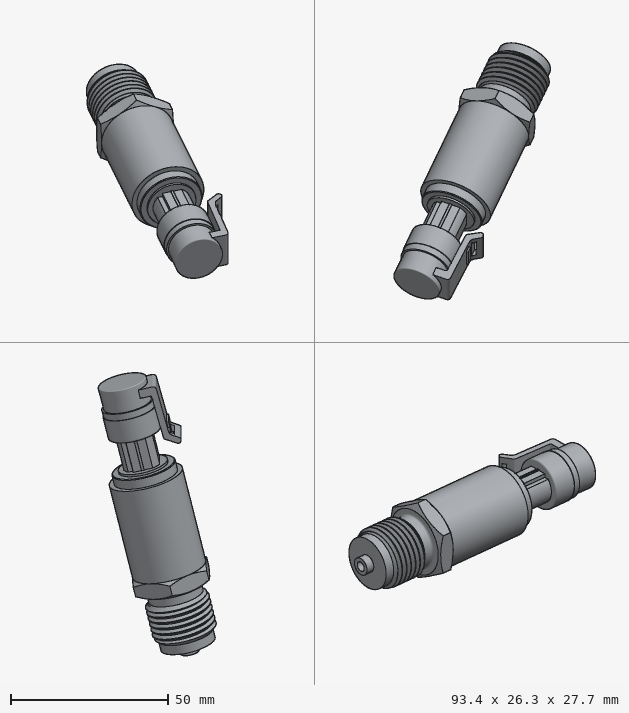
import cadquery as cq
import math

nipple_end = 2.9
spigot_end = 6.1
thread_end = 19.4
hex_start = 23.0
hex_end = 28.8
sleeve_end = 60.7
ring_end = 64.1
flange_end = 64.8
stem_end = 75.8
collar_step = 83.6
collar_end = 85.8
plug_end = 93.4

nipple_diameter = 6.0
bore_diameter = 3.3
spigot_diameter = 17.8
neck_fillet = 0.8
thread_diameter = 20.7
thread_root_diameter = 18.6
thread_chamfer_length = 1.4
thread_turns = 7
thread_crest_width = 0.3
thread_cutter_overreach = 0.1
hex_across_flats = 24.0
hex_face_diameter = 22.6
hex_chamfer_angle = 30

sleeve_diameter = hex_across_flats
ring_diameter = 20.7
ring_chamfer = 0.3
flange_diameter = 16.2
stem_diameter = 12.6
stem_top = 5.4
stem_back = 5.5
stem_step_height = 4.1
stem_step_y = -3.2
stem_rib_width = 0.8
stem_rib_height = 0.3

collar_diameter = 17.3
collar_rear_diameter = 16.9
collar_fillet = 0.6
plug_front_diameter = 15.6
plug_end_diameter = 15.8
plug_fillet = 0.3
latch_width = 12.3
latch_leg_start = 88.7
latch_leg_end = 91.6
latch_leg_bottom = 4.6
latch_bottom = 9.0
latch_top = 11.0
latch_tilt_drop = 0.5
latch_inner_radius = 0.5
latch_outer_radius = 1.1
latch_bend_under = (73.8, latch_bottom)
latch_bend_under_radius = 0.75
latch_bend_over = (74.9, latch_top)
latch_bend_over_radius = 2.3
latch_tip_under = (70.9, 13.5)
latch_tip_over = (72.6, 14.7)
latch_tip_radius = 0.9
latch_window_width = 7.7
latch_window_bottom = 11.3
latch_window_top = 12.5
latch_pad_start = 76.3
latch_pad_end = 78.3
latch_pad_top = 11.6


def disc(start, end, diameter):
    """Solid cylinder along X between two stations."""
    return cq.Workplane("YZ", origin=(start, 0, 0)).circle(diameter / 2).extrude(end - start)


def block(start, end, y_low, y_high, z_low, z_high):
    """Box given by its limits along each axis."""
    size = (end - start, y_high - y_low, z_high - z_low)
    return cq.Workplane("XY").box(*size, centered=False).translate((start, y_low, z_low))


def make_thread():
    """Chamfered cylinder with a helical V groove cut round it."""
    root_radius = thread_root_diameter / 2
    crest_radius = thread_diameter / 2
    spigot_radius = spigot_diameter / 2
    blank = (
        cq.Workplane("XY")
        .moveTo(spigot_end, 0)
        .lineTo(spigot_end, spigot_radius)
        .lineTo(spigot_end + thread_chamfer_length, crest_radius)
        .lineTo(thread_end - thread_chamfer_length, crest_radius)
        .lineTo(thread_end, spigot_radius)
        .lineTo(thread_end, 0)
        .close()
        .revolve(360, (0, 0, 0), (1, 0, 0))
    )
    pitch = (thread_end - spigot_end) / thread_turns
    crest_half_width = (pitch - thread_crest_width) / 2
    slope = crest_half_width / (crest_radius - root_radius)
    cutter_radius = crest_radius + thread_cutter_overreach
    cutter_half_width = slope * (cutter_radius - root_radius)
    helix = cq.Wire.makeHelix(pitch, pitch, root_radius)
    groove_turn = (
        cq.Workplane("XZ")
        .moveTo(root_radius, 0)
        .lineTo(cutter_radius, cutter_half_width)
        .lineTo(cutter_radius, -cutter_half_width)
        .close()
        .sweep(cq.Workplane(obj=helix), isFrenet=True)
    )
    groove_turn = groove_turn.rotate((0, 0, 0), (0, 1, 0), 90)
    thread = blank
    for turn in range(thread_turns + 2):
        thread = thread.cut(groove_turn.translate((spigot_end + (turn - 1) * pitch, 0, 0)))
    return thread


def make_hexagon():
    """Hexagon with corners up and down, its corners turned off by a cone at each end."""
    corner_radius = hex_across_flats / math.sqrt(3)
    prism = (
        cq.Workplane("YZ", origin=(hex_start, 0, 0))
        .polygon(6, 2 * corner_radius)
        .extrude(hex_end - hex_start)
        .rotate((0, 0, 0), (1, 0, 0), 90)
    )
    slope = math.tan(math.radians(hex_chamfer_angle))
    inlet_chamfer = (corner_radius - hex_face_diameter / 2) * slope
    sleeve_chamfer = (corner_radius - sleeve_diameter / 2) * slope
    envelope = (
        cq.Workplane("XY")
        .moveTo(hex_start, 0)
        .lineTo(hex_start, hex_face_diameter / 2)
        .lineTo(hex_start + inlet_chamfer, corner_radius)
        .lineTo(hex_end - sleeve_chamfer, corner_radius)
        .lineTo(hex_end, sleeve_diameter / 2)
        .lineTo(hex_end, 0)
        .close()
        .revolve(360, (0, 0, 0), (1, 0, 0))
    )
    return prism.intersect(envelope)


def make_neck():
    """Plain neck behind the thread, filleted into the face of the hexagon."""
    neck_radius = spigot_diameter / 2
    fillet_middle = neck_fillet * (1 - math.sqrt(0.5))
    return (
        cq.Workplane("XY")
        .moveTo(thread_end, 0)
        .lineTo(thread_end, neck_radius)
        .lineTo(hex_start - neck_fillet, neck_radius)
        .threePointArc(
            (hex_start - fillet_middle, neck_radius + fillet_middle),
            (hex_start, neck_radius + neck_fillet),
        )
        .lineTo(hex_start, 0)
        .close()
        .revolve(360, (0, 0, 0), (1, 0, 0))
    )


def make_port():
    port = make_thread()
    port = port.union(disc(0, nipple_end, nipple_diameter))
    port = port.union(disc(nipple_end, spigot_end, spigot_diameter))
    port = port.union(make_neck())
    port = port.union(make_hexagon())
    return port.cut(disc(0, hex_end, bore_diameter))


def make_sleeve():
    return disc(hex_end, sleeve_end, sleeve_diameter)


def make_ring():
    return disc(sleeve_end, ring_end, ring_diameter).faces(">X").chamfer(ring_chamfer)


def make_connector():
    """Round flange carrying a stem with flats, stepped front corners and a rib above and below."""
    radius = stem_diameter / 2
    stem = disc(flange_end, stem_end, stem_diameter)
    stem = stem.intersect(block(flange_end, stem_end, -radius, stem_back, -stem_top, stem_top))
    for z_low, z_high in ((stem_step_height, radius), (-radius, -stem_step_height)):
        stem = stem.cut(block(flange_end, stem_end, -radius, stem_step_y, z_low, z_high))
    rib_reach = stem_top + stem_rib_height
    ribs = block(flange_end, stem_end, -stem_rib_width / 2, stem_rib_width / 2, -rib_reach, rib_reach)
    return disc(ring_end, flange_end, flange_diameter).union(stem).union(ribs)


def make_collar():
    """Round collar, rounded at the stem side and stepped down at the plug side."""
    front = disc(stem_end, collar_step, collar_diameter).faces("<X").edges().fillet(collar_fillet)
    return front.union(disc(collar_step, collar_end, collar_rear_diameter))


def rounded_outline(corners):
    """Closed outline through (x, y, radius) corners, each rounded by a tangent arc."""
    outline = cq.Workplane("XY")
    for index, (x, y, radius) in enumerate(corners):
        corner = cq.Vector(x, y)
        before = cq.Vector(*corners[index - 1][:2])
        after = cq.Vector(*corners[(index + 1) % len(corners)][:2])
        to_before = (before - corner).normalized()
        to_after = (after - corner).normalized()
        half_angle = to_before.getAngle(to_after) / 2
        bisector = (to_before + to_after).normalized()
        tangent_length = radius / math.tan(half_angle)
        arc_start = corner + to_before * tangent_length
        arc_middle = corner + bisector * (radius / math.sin(half_angle) - radius)
        arc_end = corner + to_after * tangent_length
        if index == 0:
            outline = outline.moveTo(arc_start.x, arc_start.y)
        else:
            outline = outline.lineTo(arc_start.x, arc_start.y)
        if radius > 0:
            outline = outline.threePointArc((arc_middle.x, arc_middle.y), (arc_end.x, arc_end.y))
    return outline.close()


def make_latch():
    """Bent lever that stands on the plug by its leg and reaches forward over the collar."""
    half_width = latch_width / 2
    rear_bottom = latch_bottom - latch_tilt_drop
    rear_top = latch_top - latch_tilt_drop
    corners = [
        (latch_leg_start, latch_leg_bottom, 0),
        (latch_leg_start, rear_bottom, latch_inner_radius),
        (*latch_bend_under, latch_bend_under_radius),
        (*latch_tip_under, latch_tip_radius),
        (*latch_tip_over, latch_tip_radius),
        (*latch_bend_over, latch_bend_over_radius),
        (latch_leg_end, rear_top, latch_outer_radius),
        (latch_leg_end, latch_leg_bottom, 0),
    ]
    lever = rounded_outline(corners).extrude(latch_width).translate((0, 0, -half_width))
    window_half_width = latch_window_width / 2
    window = block(
        latch_tip_under[0], latch_bend_over[0],
        latch_window_bottom, latch_window_top,
        -window_half_width, window_half_width,
    )
    pad = block(
        latch_pad_start, latch_pad_end,
        latch_bottom, latch_pad_top,
        -window_half_width, window_half_width,
    )
    return lever.cut(window).union(pad)


def make_plug():
    """Tapered barrel with a rounded end and the latch standing on its side."""
    barrel = (
        cq.Workplane("YZ", origin=(collar_end, 0, 0))
        .circle(plug_front_diameter / 2)
        .workplane(offset=plug_end - collar_end)
        .circle(plug_end_diameter / 2)
        .loft()
        .faces(">X")
        .edges()
        .fillet(plug_fillet)
    )
    return barrel.union(make_latch())


port = make_port()
sleeve = make_sleeve()
ring = make_ring()
connector = make_connector()
collar = make_collar()
plug = make_plug().cut(collar)

result = cq.Compound.makeCompound(
    [port.val(), sleeve.val(), ring.val(), connector.val(), collar.val(), plug.val()]
)